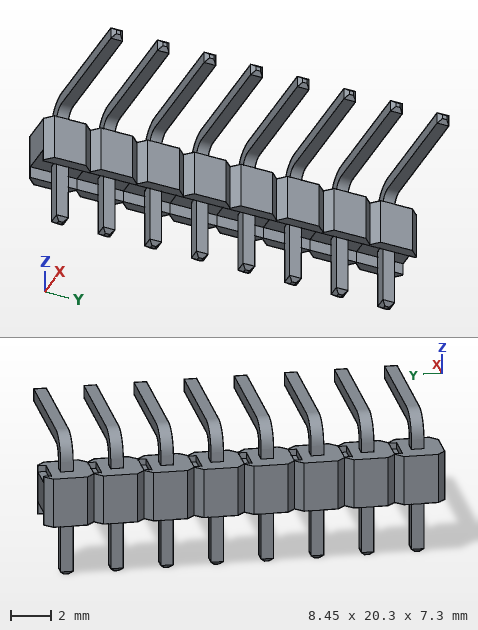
import cadquery as cq

position_count = 8
row_length = 20.32
pitch = row_length / position_count

block_width = pitch
block_height = 2.56
corner_chamfer = 0.4
channel_width = 1.55
channel_height = 0.65
recess_length = 0.4
recess_depth = 0.33

outer_bend_radius = 1.28
tail_length = 2.95
total_height = 7.3
total_width = 8.45
tip_length = 0.2
tip_inset = 0.2

wire_size = outer_bend_radius / 2
half_wire = wire_size / 2
pin_bottom = -tail_length
pin_top = total_height - tail_length
pin_end = total_width - block_width / 2
bend_start_z = pin_top - outer_bend_radius
bend_end_x = outer_bend_radius - half_wire


def make_block():
    """Octagonal block with a channel along Y underneath and a recess at its top +Y edge."""
    block = (
        cq.Workplane("XY")
        .box(block_width, pitch, block_height, centered=(True, True, False))
        .edges("|Z")
        .chamfer(corner_chamfer)
    )
    channel = cq.Workplane("XY").box(
        channel_width, pitch, channel_height, centered=(True, True, False)
    )
    recess = (
        cq.Workplane("XY", origin=(0, (pitch - recess_length) / 2, block_height - recess_depth))
        .box(channel_width, recess_length, recess_depth, centered=(True, True, False))
    )
    return block.cut(channel).cut(recess)


def make_tip(base_plane):
    """Four-sided taper that starts on the given plane at the end of the wire."""
    end_size = wire_size - 2 * tip_inset
    return (
        cq.Workplane(base_plane)
        .rect(wire_size, wire_size)
        .workplane(offset=tip_length)
        .rect(end_size, end_size)
        .loft(ruled=True)
    )


def make_pin():
    """Square wire swept down the block axis, round the bend and out along +X, tapered at both ends."""
    wire_axis_z = pin_top - half_wire
    bend_radius = outer_bend_radius - half_wire
    straight_bottom = pin_bottom + tip_length
    straight_end = pin_end - tip_length
    axis = (
        cq.Workplane("XZ")
        .moveTo(0, straight_bottom)
        .lineTo(0, bend_start_z)
        .radiusArc((bend_end_x, wire_axis_z), bend_radius)
        .lineTo(straight_end, wire_axis_z)
    )
    wire = (
        cq.Workplane("XY", origin=(0, 0, straight_bottom))
        .rect(wire_size, wire_size)
        .sweep(axis)
    )
    lower_tip = make_tip(cq.Plane((0, 0, straight_bottom), xDir=(1, 0, 0), normal=(0, 0, -1)))
    outer_tip = make_tip(cq.Plane((straight_end, 0, wire_axis_z), xDir=(0, 1, 0), normal=(1, 0, 0)))
    return wire.union(lower_tip).union(outer_tip)


def make_position():
    """One header position: block and pin joined as a single solid."""
    return make_block().union(make_pin())


first_y = -(row_length - pitch) / 2
positions = [
    make_position().translate((0, first_y + index * pitch, 0)).val()
    for index in range(position_count)
]

result = cq.Compound.makeCompound(positions)